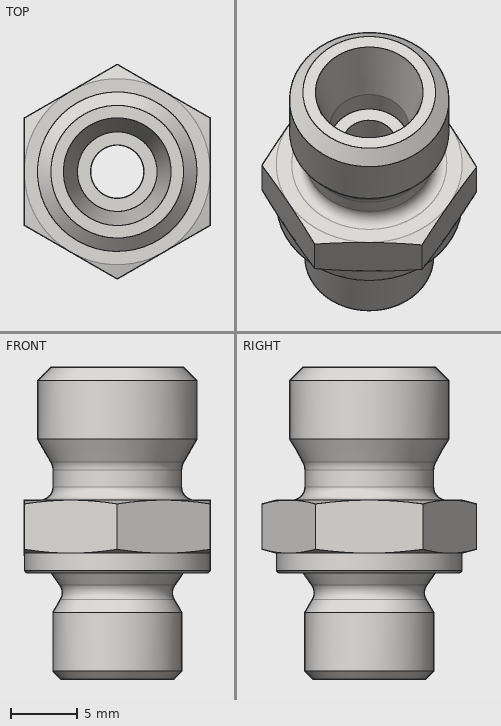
import cadquery as cq
import math

total_height = 23.5
tube_end_length = 10.0
hex_height = 4.0
collar_height = 1.5
hex_top = total_height - tube_end_length
hex_bottom = hex_top - hex_height
collar_bottom = hex_bottom - collar_height

across_flats = 14.0
collar_radius = across_flats / 2
corner_radius = across_flats / math.sqrt(3)
hex_chamfer_angle = 15.0
collar_chamfer = 0.19

tube_thread_radius = 12.0 / 2
tube_thread_chamfer = 1.0
tube_thread_length = 5.43
tube_neck_radius = 9.7 / 2
neck_blend = 1.25
neck_fillet = 0.99
runout_angle = math.radians(30)

port_radius = 9.73 / 2
port_chamfer = 0.6
port_thread_top = 5.03
groove_radius = 4.15
groove_cone_angle = math.radians(35)
groove_fillet = 0.99

bore_radius = 4.0 / 2
socket_radius = 6.0 / 2
mouth_radius = 8.1 / 2
socket_depth = 7.0
cone_half_angle = math.radians(12)


def make_body():
    """Revolved outside: threaded ends, necks and collar."""
    thread_bottom = total_height - tube_thread_length
    runout_height = (tube_thread_radius - tube_neck_radius) / math.tan(runout_angle)
    neck_top = thread_bottom - runout_height
    tangent = neck_blend * math.tan(runout_angle / 2)
    blend_start = (
        tube_neck_radius + tangent * math.sin(runout_angle),
        neck_top + tangent * math.cos(runout_angle),
    )
    blend_middle = (
        tube_neck_radius + neck_blend * (1 - math.cos(runout_angle / 2)),
        neck_top - tangent + neck_blend * math.sin(runout_angle / 2),
    )
    root_offset = neck_fillet * (1 - math.sqrt(0.5))

    groove_lower_radius = groove_radius + groove_fillet * (1 - math.cos(runout_angle))
    groove_upper_radius = groove_radius + groove_fillet * (1 - math.cos(groove_cone_angle))
    groove_lower_z = port_thread_top + (port_radius - groove_lower_radius) / math.tan(runout_angle)
    groove_middle_z = groove_lower_z + groove_fillet * math.sin(runout_angle)
    groove_upper_z = groove_middle_z + groove_fillet * math.sin(groove_cone_angle)
    groove_cone_height = collar_bottom - groove_upper_z
    groove_outer_radius = groove_upper_radius + groove_cone_height * math.tan(groove_cone_angle)

    return (
        cq.Workplane("XZ")
        .moveTo(0, 0)
        .lineTo(port_radius - port_chamfer, 0)
        .lineTo(port_radius, port_chamfer)
        .lineTo(port_radius, port_thread_top)
        .lineTo(groove_lower_radius, groove_lower_z)
        .threePointArc((groove_radius, groove_middle_z), (groove_upper_radius, groove_upper_z))
        .lineTo(groove_outer_radius, collar_bottom)
        .lineTo(collar_radius - collar_chamfer, collar_bottom)
        .lineTo(collar_radius, collar_bottom + collar_chamfer)
        .lineTo(collar_radius, hex_top)
        .lineTo(tube_neck_radius + neck_fillet, hex_top)
        .threePointArc(
            (tube_neck_radius + root_offset, hex_top + root_offset),
            (tube_neck_radius, hex_top + neck_fillet),
        )
        .lineTo(tube_neck_radius, neck_top - tangent)
        .threePointArc(blend_middle, blend_start)
        .lineTo(tube_thread_radius, thread_bottom)
        .lineTo(tube_thread_radius, total_height - tube_thread_chamfer)
        .lineTo(tube_thread_radius - tube_thread_chamfer, total_height)
        .lineTo(0, total_height)
        .close()
        .revolve(360, (0, 0), (0, 1))
    )


def make_hexagon():
    """Hexagon with corners on the Y axis, its corners chamfered at both ends."""
    prism = (
        cq.Workplane("XY", origin=(0, 0, hex_bottom))
        .polygon(6, 2 * corner_radius)
        .extrude(hex_height)
        .rotate((0, 0, 0), (0, 0, 1), 30)
    )
    chamfer_drop = (corner_radius - collar_radius) * math.tan(math.radians(hex_chamfer_angle))
    envelope = (
        cq.Workplane("XZ")
        .moveTo(0, hex_bottom)
        .lineTo(collar_radius, hex_bottom)
        .lineTo(corner_radius, hex_bottom + chamfer_drop)
        .lineTo(corner_radius, hex_top - chamfer_drop)
        .lineTo(collar_radius, hex_top)
        .lineTo(0, hex_top)
        .close()
        .revolve(360, (0, 0), (0, 1))
    )
    return prism.intersect(envelope)


def make_passage():
    """Through bore with a conical mouth and a flat-bottomed tube socket."""
    cone_depth = (mouth_radius - socket_radius) / math.tan(cone_half_angle)
    return (
        cq.Workplane("XZ")
        .moveTo(0, 0)
        .lineTo(bore_radius, 0)
        .lineTo(bore_radius, total_height - socket_depth)
        .lineTo(socket_radius, total_height - socket_depth)
        .lineTo(socket_radius, total_height - cone_depth)
        .lineTo(mouth_radius, total_height)
        .lineTo(0, total_height)
        .close()
        .revolve(360, (0, 0), (0, 1))
    )


result = make_body().union(make_hexagon()).cut(make_passage())